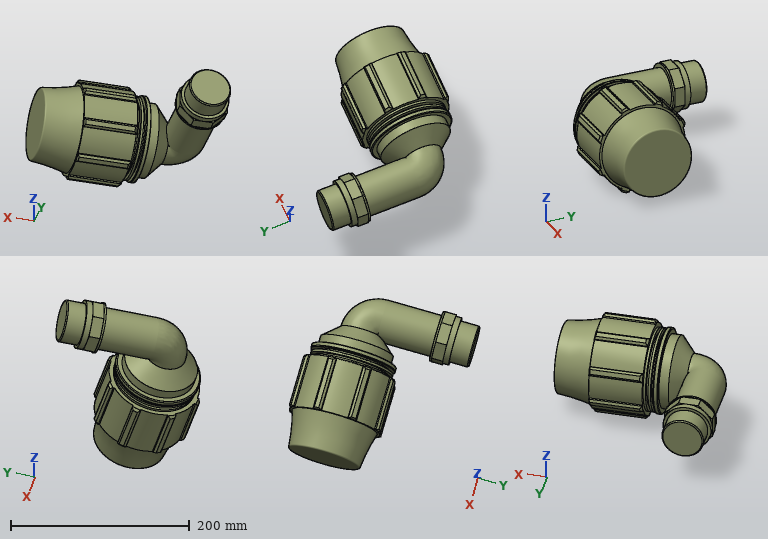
import cadquery as cq
import math


pipe_radius = 47.8 / 2
bend_radius = 19.5

leg_end = 126.0
leg_chamfer = 1.4
flange_start = 82.0
flange_end = 84.4
octagon_end = 97.2
collar_end = 104.0
flange_radius = 57.5 / 2
collar_diameter = 55.0
octagon_sides = 8

cone_start = bend_radius
cone_end = 36.2
body_radius = 84.8 / 2
stop_ring_start = 47.0
stop_ring_end = 52.7
stop_ring_radius = 98.3 / 2
stop_ring_front_bevel_length = 0.8
stop_ring_back_bevel_length = 1.2
stop_ring_back_bevel_depth = 0.4
thread_radius = 95.4 / 2
thread_ring_start = 55.5
thread_ring_end = 58.2
last_thread_start = 61.2

nut_start = 64.0
nut_end = 125.5
nut_radius = 52.5
taper_start_radius = 49.5
taper_mid_radius = 44.6
taper_end_radius = 41.9
socket_end = 168.0
tip_rounding = 2.0
taper_end = socket_end - tip_rounding

rib_count = 8
rib_outer_radius = 56.5
rib_shoulder_radius = 53.9
rib_root_radius = 49.2
rib_outer_width = 5.5
rib_base_width = 10.2
rib_front_bevel_length = 2.8
rib_back_bevel_length = 1.5


def make_disc_x(start, end, radius):
    """Solid disc centred on the X axis."""
    return cq.Workplane("YZ", origin=(start, 0, 0)).circle(radius).extrude(end - start)


def make_cylinder_y(start, end, radius):
    """Solid cylinder centred on the Y axis."""
    plane = cq.Plane(origin=(0, start, 0), xDir=(1, 0, 0), normal=(0, 1, 0))
    return cq.Workplane(plane).circle(radius).extrude(end - start)


def make_elbow():
    """Quarter bend; the pipe circle is cut off at the bend axis, which lies inside it."""
    half_chord = math.sqrt(pipe_radius**2 - bend_radius**2)
    section = (
        cq.Workplane("XZ", origin=(0, bend_radius, 0))
        .moveTo(bend_radius, half_chord)
        .threePointArc((-pipe_radius, 0), (bend_radius, -half_chord))
        .close()
    )
    return section.revolve(90, (bend_radius, 0), (bend_radius, 1))


def make_male_leg():
    """Straight pipe with a flange, an octagonal grip and a round collar."""
    leg = make_cylinder_y(bend_radius, leg_end, pipe_radius).faces(">Y").chamfer(leg_chamfer)
    flange = make_cylinder_y(flange_start, flange_end, flange_radius)
    collar = make_cylinder_y(octagon_end, collar_end, collar_diameter / 2)
    octagon_plane = cq.Plane(origin=(0, flange_end, 0), xDir=(1, 0, 0), normal=(0, 1, 0))
    octagon = (
        cq.Workplane(octagon_plane)
        .polygon(octagon_sides, collar_diameter, circumscribed=True)
        .extrude(octagon_end - flange_end)
    )
    return leg.union(flange).union(octagon).union(collar)


def make_socket_body():
    """Turned body, nut barrel and curved end taper revolved about the X axis."""
    profile = (
        cq.Workplane("XY")
        .moveTo(cone_start, 0)
        .lineTo(cone_start, pipe_radius)
        .lineTo(cone_end, body_radius)
        .lineTo(nut_start, body_radius)
        .lineTo(nut_start, nut_radius)
        .lineTo(nut_end, nut_radius)
        .lineTo(nut_end, taper_start_radius)
        .threePointArc(((nut_end + taper_end) / 2, taper_mid_radius), (taper_end, taper_end_radius))
        .radiusArc((socket_end, taper_end_radius - tip_rounding), tip_rounding)
        .lineTo(socket_end, 0)
        .close()
    )
    return profile.revolve(360, (0, 0), (1, 0))


def make_rings():
    """Stop ring bevelled on both faces, and the two thread rings in front of the nut."""
    stop_ring = (
        make_disc_x(stop_ring_start, stop_ring_end, stop_ring_radius)
        .faces("<X")
        .chamfer(stop_ring_front_bevel_length, stop_ring_radius - thread_radius)
        .faces(">X")
        .chamfer(stop_ring_back_bevel_length, stop_ring_back_bevel_depth)
    )
    thread_ring = make_disc_x(thread_ring_start, thread_ring_end, thread_radius)
    last_thread = make_disc_x(last_thread_start, nut_start, thread_radius)
    return stop_ring.union(thread_ring).union(last_thread)


def make_rib():
    """Straight-walled rib at the top of the nut, bevelled above its shoulder on all sides."""
    cross_section = (
        cq.Workplane("YZ", origin=(nut_start, 0, 0))
        .moveTo(-rib_base_width / 2, rib_root_radius)
        .lineTo(-rib_base_width / 2, rib_shoulder_radius)
        .lineTo(-rib_outer_width / 2, rib_outer_radius)
        .lineTo(rib_outer_width / 2, rib_outer_radius)
        .lineTo(rib_base_width / 2, rib_shoulder_radius)
        .lineTo(rib_base_width / 2, rib_root_radius)
        .close()
        .extrude(nut_end - nut_start)
    )
    side_outline = (
        cq.Workplane("XZ")
        .moveTo(nut_start, rib_root_radius)
        .lineTo(nut_start, rib_shoulder_radius)
        .lineTo(nut_start + rib_front_bevel_length, rib_outer_radius)
        .lineTo(nut_end - rib_back_bevel_length, rib_outer_radius)
        .lineTo(nut_end, rib_shoulder_radius)
        .lineTo(nut_end, rib_root_radius)
        .close()
        .extrude(rib_base_width, both=True)
    )
    return cross_section.intersect(side_outline)


result = make_male_leg().union(make_elbow()).union(make_socket_body()).union(make_rings())

rib = make_rib()
rib_pitch = 360 / rib_count
for rib_index in range(rib_count):
    rib_angle = (rib_index + 0.5) * rib_pitch
    result = result.union(rib.rotate((0, 0, 0), (1, 0, 0), rib_angle))